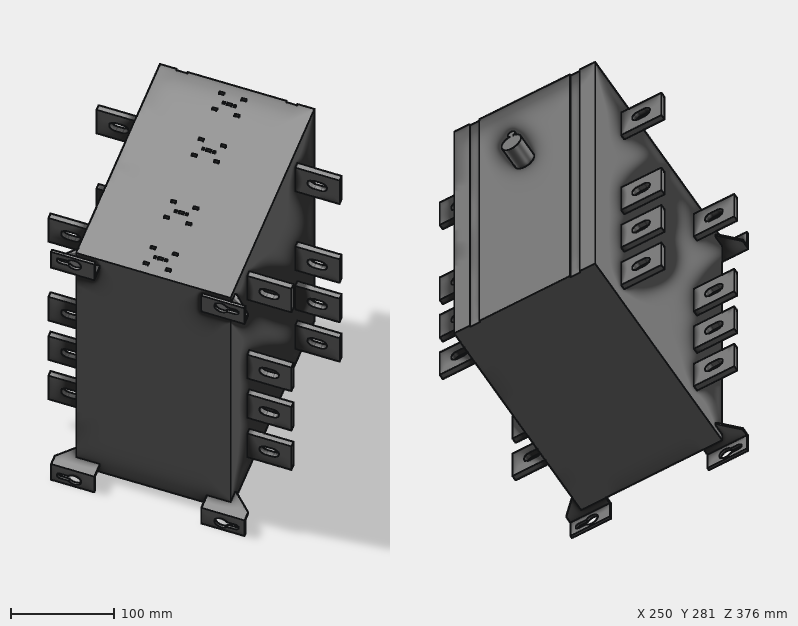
import cadquery as cq

body_width = 159.0
body_depth = 240.0
body_height = 350.0
foot_standoff = 16.0
body_back = foot_standoff + body_depth

groove_width = 11.0
groove_depth = 1.5
groove_offset = 56.5

terminal_span = 250.0
terminal_height = 39.0
terminal_thickness = 6.0
terminal_levels = (130.0, 0.0, -65.0, -130.0)
terminal_rows = (body_back - 189.5, body_back - 52.0)
terminal_slot_length = 20.0
terminal_slot_width = 13.0
terminal_slot_edge = 23.0

foot_span = 199.0
foot_overall_height = 376.0
foot_width = 44.5
foot_height = 26.0
foot_leg_depth = 29.0
foot_thickness = 3.0
foot_chamfer = 18.5
keyhole_diameter = 14.0
keyhole_slot_width = 7.5
keyhole_edge_x = 24.0
keyhole_edge_z = 10.5
keyhole_slot_edge = 6.0

shaft_diameter = 22.0
shaft_length = 25.0
shaft_level = 64.0
key_diameter = 8.0
key_overlap = 0.7

opening_length = 5.0
opening_width = 3.0
opening_depth = 10.0
group_offset = 29.25
corner_pitch_x = 23.0
corner_pitch_y = 20.0
side_opening_length = 2.0
side_opening_width = 2.5
side_opening_pitch = 11.5


def block(x_min, x_max, y_min, y_max, z_min, z_max):
    """Box given by its limits along each axis."""
    size = (x_max - x_min, y_max - y_min, z_max - z_min)
    return cq.Workplane("XY").box(*size, centered=False).translate((x_min, y_min, z_min))


def make_body():
    half_width = body_width / 2
    half_height = body_height / 2
    body = block(-half_width, half_width, foot_standoff, body_back, -half_height, half_height)
    for centre in (-groove_offset, groove_offset):
        body = body.cut(block(
            centre - groove_width / 2, centre + groove_width / 2,
            body_back - groove_depth, body_back,
            -half_height, half_height,
        ))
    return body


def make_terminal_bar():
    """Bar centred on the origin, with a slot near each end."""
    slot_x = terminal_span / 2 - terminal_slot_edge
    return (
        cq.Workplane("XZ")
        .rect(terminal_span, terminal_height)
        .extrude(terminal_thickness / 2, both=True)
        .faces("<Y").workplane()
        .pushPoints([(-slot_x, 0), (slot_x, 0)])
        .slot2D(terminal_slot_length, terminal_slot_width)
        .cutThruAll()
    )


def make_foot():
    """Foot of the upper +X corner: upright plate with a keyhole, and a leg into the housing."""
    outer_x = foot_span / 2
    inner_x = outer_x - foot_width
    top_z = foot_overall_height / 2
    bottom_z = top_z - foot_height
    plate = block(inner_x, outer_x, 0, foot_thickness, bottom_z, top_z)
    leg = (
        block(inner_x, outer_x, 0, foot_leg_depth, bottom_z, bottom_z + foot_thickness)
        .edges("|Z and >X and >Y")
        .chamfer(foot_chamfer)
    )

    keyhole_x = outer_x - keyhole_edge_x
    keyhole_z = top_z - keyhole_edge_z
    slot_end_x = outer_x - keyhole_slot_edge - keyhole_slot_width / 2
    plane = cq.Workplane("XZ")
    opening = plane.center(keyhole_x, keyhole_z).circle(keyhole_diameter / 2).extrude(-foot_thickness)
    slot_end = plane.center(slot_end_x, keyhole_z).circle(keyhole_slot_width / 2).extrude(-foot_thickness)
    slot = block(
        keyhole_x, slot_end_x, 0, foot_thickness,
        keyhole_z - keyhole_slot_width / 2, keyhole_z + keyhole_slot_width / 2,
    )
    return plate.union(leg).cut(opening).cut(slot_end).cut(slot)


def make_shaft():
    """Shaft and key, rooted on the back face."""
    key_level = shaft_level + (shaft_diameter + key_diameter) / 2 - key_overlap
    plane = cq.Workplane("XZ", origin=(0, body_back, 0))
    shaft = plane.center(0, shaft_level).circle(shaft_diameter / 2).extrude(-shaft_length)
    key = plane.center(0, key_level).circle(key_diameter / 2).extrude(-shaft_length)
    return shaft.union(key)


def make_top_openings():
    """One group: a rectangle at the centre and each corner, and a smaller one on either side."""
    plane = cq.Workplane("XY", origin=(0, 0, body_height / 2))
    large = (
        plane
        .rarray(corner_pitch_x, corner_pitch_y, 2, 2)
        .rect(opening_length, opening_width)
        .extrude(-opening_depth)
    )
    centre = plane.rect(opening_length, opening_width).extrude(-opening_depth)
    sides = (
        plane
        .rarray(side_opening_pitch, 1, 2, 1)
        .rect(side_opening_length, side_opening_width)
        .extrude(-opening_depth)
    )
    return large.add(centre).add(sides)


result = make_body()

terminal_bar = make_terminal_bar()
for row in terminal_rows:
    for level in terminal_levels:
        result = result.union(terminal_bar.translate((0, row, level)))

upper_right_foot = make_foot()
upper_left_foot = upper_right_foot.mirror("YZ")
for upper_foot in (upper_right_foot, upper_left_foot):
    result = result.union(upper_foot).union(upper_foot.mirror("XY"))

result = result.union(make_shaft())

opening_group = make_top_openings()
for row in terminal_rows:
    for offset in (-group_offset, group_offset):
        for opening_solid in opening_group.vals():
            result = result.cut(cq.Workplane(opening_solid).translate((0, row + offset, 0)))